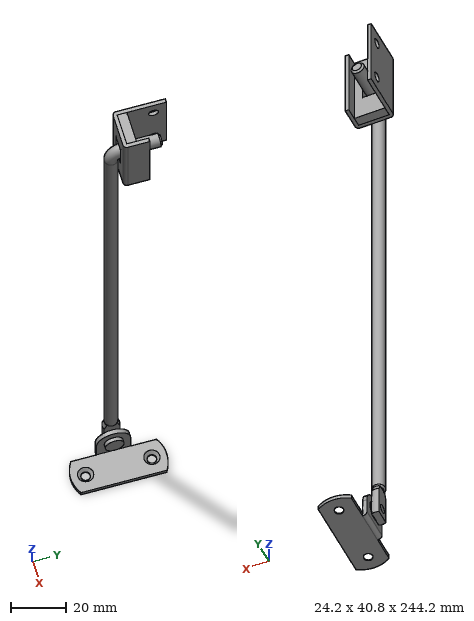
import cadquery as cq

total_height = 244.2
total_width = 24.2

rod_diameter = 5.1
rod_bottom = 18.5
rod_end_chamfer = 0.7
bend_radius = 5.0
bend_start = 223.5
hook_end_y = 18.8
hook_axis_z = bend_start + bend_radius

eye_thickness = 3.0
eye_diameter = 6.5
eye_bottom = 3.7
shoulder_z = 16.0
shoulder_top_diameter = 5.0

pivot_z = 8.0
pin_diameter = 3.5
pin_head_diameter = 7.0
pin_head_thickness = 1.5
washer_diameter = 7.8
washer_thickness = 0.2

foot_sheet = 1.7
tab_width = 13.0
foot_length = 36.1
foot_end_bulge = 2.0
foot_hole_spacing = 25.0
foot_hole_diameter = 3.5
countersink_diameter = 5.9
countersink_angle = 90
tab_outer_x = eye_thickness / 2 + washer_thickness
tab_inner_x = tab_outer_x + foot_sheet

bracket_sheet = 1.5
bracket_width = 15.1
bracket_height = 29.8
bracket_front_y = 2.7
bracket_back_y = 22.7
short_flange_end_y = 12.5
bracket_bottom = total_height - bracket_height
bracket_half = bracket_width / 2
web_back_y = bracket_front_y + bracket_sheet
screw_hole_diameter = 3.7
screw_hole_inset_z = 5.9
screw_hole_inset_y = 5.0

foot_end_x = total_width - bracket_half
foot_middle_x = (tab_inner_x + foot_end_x) / 2

slot_width = 5.9
slot_top = 234.5
slot_bottom = 224.1

slide_plate_thickness = 3.7


def cylinder_x(diameter, x_start, x_end):
    """Cylinder on the pivot axis, between two X positions."""
    return (
        cq.Workplane("YZ", origin=(x_start, 0, pivot_z))
        .circle(diameter / 2)
        .extrude(x_end - x_start)
    )


def make_hook_slot():
    """Rectangular cutter reaching through the web and the slide plate."""
    depth = bracket_sheet + slide_plate_thickness
    return cq.Workplane("XY").box(
        slot_width, depth, slot_top - slot_bottom, centered=(True, False, False)
    ).translate((0, bracket_front_y, slot_bottom))


def make_bracket():
    """Bracket with rounded outer bends, two screw holes and the hook slot."""
    outer_x = bracket_half
    inner_x = bracket_half - bracket_sheet
    channel = (
        cq.Workplane("XY", origin=(0, 0, bracket_bottom))
        .moveTo(-outer_x, bracket_back_y)
        .lineTo(-outer_x, bracket_front_y)
        .lineTo(outer_x, bracket_front_y)
        .lineTo(outer_x, short_flange_end_y)
        .lineTo(inner_x, short_flange_end_y)
        .lineTo(inner_x, web_back_y)
        .lineTo(-inner_x, web_back_y)
        .lineTo(-inner_x, bracket_back_y)
        .close()
        .extrude(bracket_height)
    )
    channel = channel.edges("|Z and <Y").fillet(bracket_sheet)
    hole_y = bracket_back_y - screw_hole_inset_y
    hole_heights = (bracket_bottom + screw_hole_inset_z, total_height - screw_hole_inset_z)
    screw_holes = (
        cq.Workplane("YZ", origin=(-outer_x, 0, 0))
        .pushPoints([(hole_y, z) for z in hole_heights])
        .circle(screw_hole_diameter / 2)
        .extrude(bracket_sheet)
    )
    return channel.cut(screw_holes).cut(make_hook_slot())


def make_slide_plate():
    """Plate filling the channel behind the bracket web."""
    plate = cq.Workplane("XY").box(
        bracket_width - 2 * bracket_sheet,
        slide_plate_thickness,
        bracket_height,
        centered=(True, False, False),
    ).translate((0, web_back_y, bracket_bottom))
    return plate.cut(make_hook_slot())


def make_rod():
    """Bent rod whose lower end is a round, shouldered head milled flat to an eye."""
    path = (
        cq.Workplane("YZ")
        .moveTo(0, rod_bottom)
        .lineTo(0, bend_start)
        .radiusArc((bend_radius, hook_axis_z), bend_radius)
        .lineTo(hook_end_y, hook_axis_z)
    )
    rod = cq.Workplane("XY", origin=(0, 0, rod_bottom)).circle(rod_diameter / 2).sweep(path)
    rod = rod.faces("<Z or >Y").chamfer(rod_end_chamfer)
    round_eye = (
        cq.Workplane("XZ")
        .moveTo(0, eye_bottom)
        .lineTo(eye_diameter / 2, eye_bottom)
        .lineTo(eye_diameter / 2, shoulder_z)
        .lineTo(shoulder_top_diameter / 2, rod_bottom)
        .lineTo(0, rod_bottom)
        .close()
        .revolve(360, (0, 0, 0), (0, 1, 0))
    )
    slab = cq.Workplane("XY", origin=(0, 0, eye_bottom)).rect(eye_thickness, eye_diameter).extrude(
        rod_bottom - eye_bottom
    )
    eye = round_eye.intersect(slab)
    pin_hole = cylinder_x(pin_diameter, -eye_thickness / 2, eye_thickness / 2)
    return rod.union(eye.cut(pin_hole))


def make_foot():
    """Countersunk plate with bowed ends and a round-topped tab for the pivot pin."""
    half_length = foot_length / 2
    corner_y = half_length - foot_end_bulge
    plate = (
        cq.Workplane("XY")
        .moveTo(tab_inner_x, -corner_y)
        .threePointArc((foot_middle_x, -half_length), (foot_end_x, -corner_y))
        .lineTo(foot_end_x, corner_y)
        .threePointArc((foot_middle_x, half_length), (tab_inner_x, corner_y))
        .close()
        .extrude(foot_sheet)
    )
    plate = (
        plate.faces(">Z")
        .workplane(origin=(foot_middle_x, 0, foot_sheet))
        .pushPoints([(0, -foot_hole_spacing / 2), (0, foot_hole_spacing / 2)])
        .cskHole(foot_hole_diameter, countersink_diameter, countersink_angle)
    )
    half_tab = tab_width / 2
    tab = (
        cq.Workplane("YZ", origin=(tab_outer_x, 0, 0))
        .moveTo(-half_tab, foot_sheet)
        .lineTo(half_tab, foot_sheet)
        .lineTo(half_tab, pivot_z)
        .threePointArc((0, pivot_z + half_tab), (-half_tab, pivot_z))
        .close()
        .extrude(foot_sheet)
    )
    bend = (
        cq.Workplane("XZ")
        .moveTo(tab_inner_x, 0)
        .radiusArc((tab_outer_x, foot_sheet), foot_sheet)
        .lineTo(tab_inner_x, foot_sheet)
        .close()
        .extrude(half_tab, both=True)
    )
    pin_hole = cylinder_x(pin_diameter, tab_outer_x, tab_inner_x)
    return plate.union(bend).union(tab.cut(pin_hole))


def make_washer():
    """Washer between the eye and the tab of the foot."""
    washer = cylinder_x(washer_diameter, eye_thickness / 2, tab_outer_x)
    return washer.cut(cylinder_x(pin_diameter, eye_thickness / 2, tab_outer_x))


def make_pivot_pin():
    """Headed pin, flush with the outer face of the eye."""
    shank = cylinder_x(pin_diameter, -eye_thickness / 2, tab_inner_x)
    head = cylinder_x(pin_head_diameter, tab_inner_x, tab_inner_x + pin_head_thickness)
    return shank.union(head)


bracket = make_bracket()
slide_plate = make_slide_plate()
rod = make_rod()
foot = make_foot()
washer = make_washer()
pivot_pin = make_pivot_pin()

result = cq.Compound.makeCompound(
    [
        bracket.val(),
        slide_plate.val(),
        rod.val(),
        foot.val(),
        washer.val(),
        pivot_pin.val(),
    ]
)